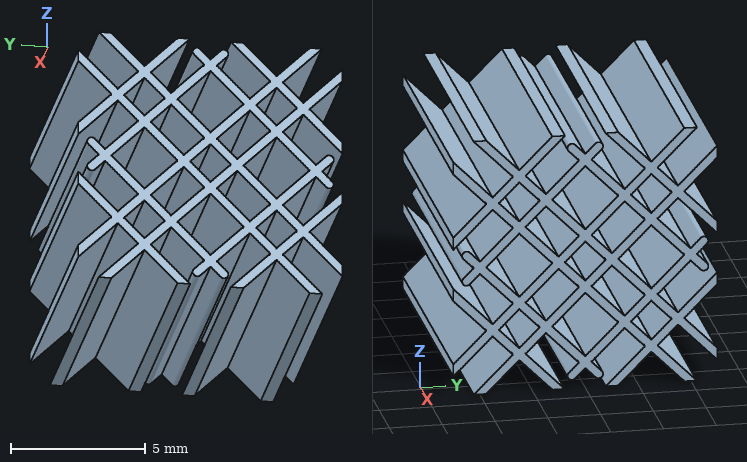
import cadquery as cq
import math

SIDE = 10.0
WALL = 0.34
LEAN_ANGLE = 45
PITCH = 5.0
INNER_OFFSET = 1.01
OUTER_OFFSET = INNER_OFFSET + PITCH
SHORT_OFFSET = PITCH - INNER_OFFSET
SHORT_LENGTH = 7.41
LONG_LENGTH = 2 * SIDE


def place(wall, offset, lean):
    """Lean a flat wall about X and put its middle where its line passes closest to the X axis."""
    middle_y = offset / 2
    middle_z = -middle_y * math.tan(math.radians(lean))
    return wall.rotate((0, 0, 0), (1, 0, 0), lean).translate((0, middle_y, middle_z))


def long_wall():
    """Flat wall with square ends."""
    return cq.Workplane("XY").box(SIDE, LONG_LENGTH, WALL)


def short_wall():
    """Flat wall with full-round ends that stop inside the cube."""
    return cq.Workplane("YZ").slot2D(SHORT_LENGTH, WALL).extrude(SIDE / 2, both=True)


lattice = cq.Workplane("XY")
for lean in (LEAN_ANGLE, -LEAN_ANGLE):
    for side in (1, -1):
        for long_offset in (INNER_OFFSET, OUTER_OFFSET):
            lattice = lattice.union(place(long_wall(), side * long_offset, lean))
        lattice = lattice.union(place(short_wall(), side * SHORT_OFFSET, lean))

cube = cq.Workplane("XY").box(SIDE, SIDE, SIDE)
result = lattice.intersect(cube)